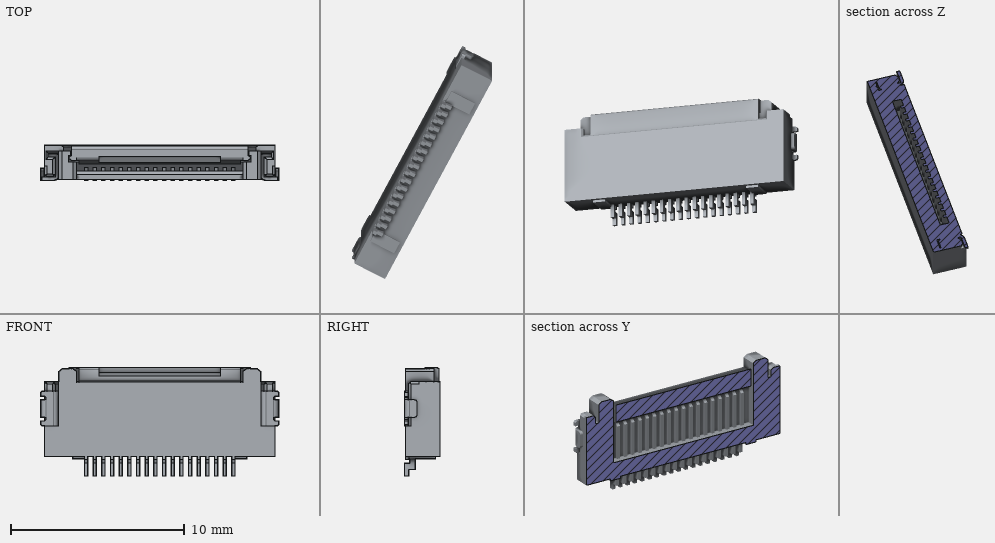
import cadquery as cq


body_half = 6.66
body_front = 0.05
body_back = 2.05
shoulder_top = 4.32
edge_chamfer = 0.13
edge_spread = 0.16
tower_half = 5.83
tower_back = 1.70
tower_top = 5.07
tower_chamfer_x = 0.20
tower_chamfer_z = 0.165

mouth_half = 4.79
mouth_chamfer_x = 0.22
mouth_chamfer_z = 0.15
front_wall_top = 4.305
cavity_front = 0.56
cavity_back = 1.06
cavity_floor = 1.0
lead_in = 0.22

seat_half = 5.15
pivot_seat_half = 5.27
pivot_seat_back = 1.44
rear_notch_half = 5.56
rear_notch_depth = 0.40
rear_notch_flare = 0.12

flap_half = 5.10
flap_nose_half = 4.66
flap_front = 0.96
flap_ledge = 1.17
flap_back = 2.0
flap_top = 5.15
flap_bottom = 3.5
nose_round_front = 1.15
nose_round_back = 1.305
nose_round_bottom = 5.02
nose_ramp_bottom = 4.40
back_round_start = 1.80
back_round_height = 0.10
grip_half = 3.5
grip_back = 1.40
grip_floor_back = 4.855
grip_floor_front = 4.61
pivot_half = 5.23
pivot_back = 1.445
pivot_flat = 0.08

clip_thickness = 0.21
clip_top = 3.776
clip_bottom = 1.774
clip_front_bend = 0.29
clip_rear_bend = 0.15
clip_half = 6.875
arm_front = 1.345
arm_back = 1.54
arm_end = 6.44
post_inner = 6.02
post_front = 0.22
arm_spread = 0.12
post_side_back = 0.83
hook_thickness = 0.20
hook_back = 0.72
hook_half_height = 0.507
hook_corner = 0.16
hook_bend = 0.30
slit_height = 0.20
slit_end = 6.57
slit_corner = 0.07
ear_corner = 0.08

contact_count = 18
contact_pitch = 0.5
contact_width = 0.2
contact_back = 0.755
contact_top = 3.2
contact_slope = 0.15
pin_drop_front = 0.30
pin_drop_back = 0.635
foot_top = -0.37
foot_shoulder = -0.75
foot_thickness = 0.25
pin_bottom = -1.13
beam_back = 0.25
beam_bottom = -0.17

pad_inner = 4.30
pad_outer = 5.03
pad_front = 0.25
pad_back = 1.79
pad_bottom = -0.13


def box(x0, x1, y0, y1, z0, z1):
    return cq.Workplane("XY").box(x1 - x0, y1 - y0, z1 - z0, centered=False).translate((x0, y0, z0))


def prism_x(points, x0, x1):
    """Extrude a (Y, Z) outline from x0 to x1."""
    return cq.Workplane("YZ").workplane(offset=x0).polyline(points).close().extrude(x1 - x0)


def prism_y(points, y0, y1):
    """Extrude an (X, Z) outline from y0 to y1."""
    return cq.Workplane("XZ").workplane(offset=-y1).polyline(points).close().extrude(y1 - y0)


def prism_z(points, z0, z1):
    """Extrude an (X, Y) outline from z0 to z1."""
    return cq.Workplane("XY").workplane(offset=z0).polyline(points).close().extrude(z1 - z0)


def level_arc_radius(run, drop):
    """Radius of an arc that starts level and falls by drop over a length run."""
    return (run**2 + drop**2) / (2 * drop)


def both_sides(solid):
    return solid.union(solid.mirror("YZ"))


def flared_opening(x0, x1, y0, y1, spread):
    """Rectangular opening in the shoulder that widens at its top edge."""
    level = shoulder_top - edge_chamfer
    straight = box(x0, x1, y0, y1, clip_bottom, shoulder_top)
    flare = (
        cq.Workplane("XY", origin=((x0 + x1) / 2, (y0 + y1) / 2, level))
        .rect(x1 - x0, y1 - y0)
        .workplane(offset=edge_chamfer)
        .rect(x1 - x0 + 2 * spread, y1 - y0 + 2 * spread)
        .loft(ruled=True)
    )
    return straight.union(flare)


def post_corner(x_side, x_face):
    """Wedge that bevels a vertical front corner of a post, between its side and its face."""
    outline = [(x_side, post_front), (x_side, post_front + edge_spread), (x_face, post_front)]
    return prism_z(outline, clip_bottom, shoulder_top)


def make_shoulder():
    """Full-width body with the clip channels that leave a post at each end."""
    shoulder = box(-body_half, body_half, body_front, body_back, 0, shoulder_top)
    arm_slot = flared_opening(tower_half, arm_end, arm_front, tower_back - arm_spread, arm_spread)
    web_slot = flared_opening(tower_half, post_inner, 0, tower_back - edge_spread, edge_spread)
    front_slot = flared_opening(tower_half, body_half + edge_spread, 0, post_front, edge_spread)
    side_bevel = prism_y(
        [
            (body_half, shoulder_top),
            (body_half, shoulder_top - edge_chamfer),
            (body_half - edge_spread, shoulder_top),
        ],
        0,
        post_side_back,
    )
    outer_corner = post_corner(body_half, body_half - edge_spread)
    inner_corner = post_corner(post_inner, post_inner + edge_spread)
    for cut in (arm_slot, web_slot, front_slot, side_bevel, outer_corner, inner_corner):
        shoulder = shoulder.cut(both_sides(cut))
    return shoulder


def make_tower():
    outline = [
        (-tower_half, 0),
        (tower_half, 0),
        (tower_half, tower_top - tower_chamfer_z),
        (tower_half - tower_chamfer_x, tower_top),
        (tower_chamfer_x - tower_half, tower_top),
        (-tower_half, tower_top - tower_chamfer_z),
    ]
    return prism_y(outline, body_front, tower_back)


def cut_mouth(housing):
    """Cable cavity, lowered front wall and the bevelled edges around them."""
    cavity = box(-mouth_half, mouth_half, cavity_front, cavity_back, cavity_floor, tower_top)
    gap = prism_y(
        [
            (-mouth_half, front_wall_top),
            (mouth_half, front_wall_top),
            (mouth_half, tower_top - mouth_chamfer_z),
            (mouth_half + mouth_chamfer_x, tower_top),
            (-mouth_half - mouth_chamfer_x, tower_top),
            (-mouth_half, tower_top - mouth_chamfer_z),
        ],
        body_front,
        cavity_back,
    )
    ramp = prism_x(
        [
            (cavity_front - lead_in, front_wall_top),
            (cavity_front, front_wall_top),
            (cavity_front, front_wall_top - lead_in),
        ],
        -mouth_half,
        mouth_half,
    )
    return housing.cut(cavity).cut(gap).cut(ramp)


def cut_flap_seat(housing):
    seat = box(-seat_half, seat_half, cavity_back, tower_back, shoulder_top, tower_top)
    pivot_seat = box(
        -pivot_seat_half, pivot_seat_half, cavity_back, pivot_seat_back, shoulder_top, tower_top
    )
    notch_floor = shoulder_top - rear_notch_depth
    flare_start = body_back - rear_notch_flare
    notch_plan = prism_z(
        [
            (-rear_notch_half, tower_back),
            (rear_notch_half, tower_back),
            (rear_notch_half, flare_start),
            (rear_notch_half + rear_notch_flare, body_back),
            (-rear_notch_half - rear_notch_flare, body_back),
            (-rear_notch_half, flare_start),
        ],
        notch_floor - rear_notch_flare,
        shoulder_top,
    )
    notch_profile = prism_x(
        [
            (tower_back, shoulder_top),
            (tower_back, notch_floor),
            (flare_start, notch_floor),
            (body_back, notch_floor - rear_notch_flare),
            (body_back, shoulder_top),
        ],
        -body_half,
        body_half,
    )
    rear_notch = notch_plan.intersect(notch_profile)
    return housing.cut(seat).cut(pivot_seat).cut(rear_notch)


def make_flap():
    """Locking flap: wide plate, narrower nose, finger grip and two pivots."""
    back_radius = level_arc_radius(flap_back - back_round_start, back_round_height)
    nose_radius = level_arc_radius(nose_round_back - nose_round_front, flap_top - nose_round_bottom)
    plate = (
        cq.Workplane("YZ")
        .workplane(offset=-flap_half)
        .moveTo(flap_ledge, flap_bottom)
        .lineTo(flap_back, flap_bottom)
        .lineTo(flap_back, flap_top - back_round_height)
        .radiusArc((back_round_start, flap_top), -back_radius)
        .lineTo(flap_ledge, flap_top)
        .close()
        .extrude(2 * flap_half)
    )
    above_nose = box(
        -mouth_half, mouth_half, flap_ledge, nose_round_back, nose_round_bottom, flap_top
    )
    nose = (
        cq.Workplane("YZ")
        .workplane(offset=-mouth_half)
        .moveTo(nose_round_front, nose_round_bottom)
        .lineTo(flap_front, nose_ramp_bottom)
        .lineTo(flap_front, flap_bottom)
        .lineTo(nose_round_back, flap_bottom)
        .lineTo(nose_round_back, flap_top)
        .radiusArc((nose_round_front, nose_round_bottom), -nose_radius)
        .close()
        .extrude(2 * mouth_half)
    )
    nose_side = box(flap_nose_half, mouth_half, flap_front, flap_ledge, flap_bottom, flap_top)
    nose = nose.cut(both_sides(nose_side))
    grip = prism_x(
        [
            (grip_back, flap_top),
            (grip_back, grip_floor_back),
            (flap_front, grip_floor_front),
            (flap_front, flap_top),
        ],
        -grip_half,
        grip_half,
    )
    pivot_mid = (flap_ledge + pivot_back) / 2
    pivots = prism_z(
        [
            (-flap_half, flap_ledge),
            (flap_half, flap_ledge),
            (pivot_half, pivot_mid - pivot_flat / 2),
            (pivot_half, pivot_mid + pivot_flat / 2),
            (flap_half, pivot_back),
            (-flap_half, pivot_back),
            (-pivot_half, pivot_mid + pivot_flat / 2),
            (-pivot_half, pivot_mid - pivot_flat / 2),
        ],
        shoulder_top,
        flap_top,
    )
    return plate.union(pivots).cut(above_nose).union(nose).cut(grip)


def make_clip():
    """Solder clip on the +X end: rear arm, web, slit flange and curled hook."""
    clip_middle = (clip_top + clip_bottom) / 2
    hook_bottom = clip_middle - hook_half_height
    hook_top = clip_middle + hook_half_height
    web_outline = [
        (tower_half, 0),
        (clip_half, 0),
        (clip_half, clip_thickness),
        (post_inner, clip_thickness),
        (post_inner, arm_front),
        (arm_end, arm_front),
        (arm_end, arm_back),
        (tower_half, arm_back),
    ]
    clip = prism_z(web_outline, clip_bottom, clip_top)
    clip = clip.edges("|Z and <X and <Y").fillet(clip_front_bend)
    clip = clip.edges("|Z and <X and >Y").fillet(clip_rear_bend)
    clip = clip.edges("|Y and >X").chamfer(ear_corner)

    hook = box(clip_half - hook_thickness, clip_half, 0, hook_back, hook_bottom, hook_top)
    hook = hook.edges("|X and >Y").fillet(hook_corner)
    hook_root = box(slit_end, clip_half, 0, clip_thickness, hook_bottom, hook_top)
    hook_room = box(
        slit_end, clip_half, 0, clip_thickness, hook_bottom - slit_height, hook_top + slit_height
    )
    hook_room = hook_room.edges("|Y and <X").chamfer(slit_corner)
    hook = hook.union(hook_root).edges("|Z and >X and <Y").fillet(hook_bend)
    return clip.cut(hook_room).union(hook)


def make_contact(x_middle):
    x0 = x_middle - contact_width / 2
    x1 = x_middle + contact_width / 2
    blade = prism_x(
        [
            (cavity_front, cavity_floor),
            (contact_back, cavity_floor),
            (contact_back, contact_top - contact_slope),
            (cavity_front, contact_top),
        ],
        x0,
        x1,
    )
    pin = prism_x(
        [
            (pin_drop_front, 0),
            (pin_drop_back, 0),
            (pin_drop_back, foot_shoulder),
            (foot_thickness, foot_shoulder),
            (foot_thickness, pin_bottom),
            (0, pin_bottom),
            (0, foot_top),
            (pin_drop_front, foot_top),
        ],
        x0,
        x1,
    )
    beam = box(x0, x1, body_front, beam_back, beam_bottom, 0)
    return [blade, pin, beam]


def make_pad():
    return box(pad_inner, pad_outer, pad_front, pad_back, pad_bottom, 0)


housing = make_shoulder().union(make_tower())
housing = cut_flap_seat(cut_mouth(housing))
connector = housing.union(make_flap())
connector = connector.union(both_sides(make_clip()))
connector = connector.union(both_sides(make_pad()))
for index in range(contact_count):
    x_contact = (index - (contact_count - 1) / 2) * contact_pitch
    for piece in make_contact(x_contact):
        connector = connector.union(piece)

result = connector